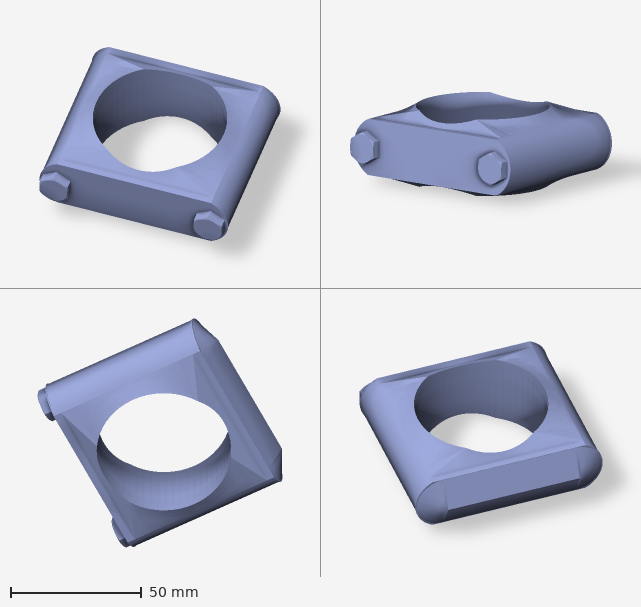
import cadquery as cq
import math

overall_length = 75.9
bolt_spacing = 62.05
body_thickness = 21.85
body_depth = 62.8
raised_thickness = 29.8
end_plate_thickness = 0.4
end_plate_overhang = 0.3

bore_radius = 25.65

raised_flat_depth = 43.25
raised_base_depth = 56.6

ridge_height = 5.55
ridge_inset = 0.15
ridge_length = 53.4

bolt_across_flats = 11.15
bolt_head_height = 4.0
hexagon_turn = 30.0
bolt_chamfer_angle = 30.0

half_body = body_thickness / 2
half_raised = raised_thickness / 2
raised_rise = half_raised - half_body
bolt_x = bolt_spacing / 2
back_y = body_depth / 2
front_y = -back_y
rim_y = raised_flat_depth / 2
rim_x = math.sqrt(bore_radius**2 - rim_y**2)


def rounded_outline(y, half_length):
    """Flat top and bottom with bulged ends, in the XZ plane at the given Y."""
    return (
        cq.Workplane("XZ", origin=(0, y, 0))
        .moveTo(-bolt_x, -half_body)
        .lineTo(bolt_x, -half_body)
        .threePointArc((half_length, 0), (bolt_x, half_body))
        .lineTo(-bolt_x, half_body)
        .threePointArc((-half_length, 0), (-bolt_x, -half_body))
        .close()
    )


def make_body():
    half_length = overall_length / 2
    body = rounded_outline(back_y, half_length - end_plate_overhang).extrude(body_depth)
    for y in (back_y, front_y + end_plate_thickness):
        body = body.union(rounded_outline(y, half_length).extrude(end_plate_thickness))
    return body


def make_rim_quarter():
    """Quarter rim whose ruled flank runs from the straight body edge up to the bore arc."""
    arc_angle = math.atan2(rim_y, rim_x) / 2
    arc_middle = (bore_radius * math.cos(arc_angle), bore_radius * math.sin(arc_angle))
    return (
        cq.Workplane("XY", origin=(0, 0, half_body))
        .moveTo(0, 0)
        .lineTo(bolt_x, 0)
        .lineTo(bolt_x, rim_y)
        .lineTo(0, rim_y)
        .close()
        .workplane(offset=raised_rise)
        .moveTo(0, 0)
        .lineTo(bore_radius, 0)
        .threePointArc(arc_middle, (rim_x, rim_y))
        .lineTo(0, rim_y)
        .close()
        .loft(ruled=True)
    )


def make_rim_end():
    """Wedge sloping down from the rim to the body at the +Y end."""
    base_y = raised_base_depth / 2
    slope = (
        cq.Workplane("YZ", origin=(-bolt_x, 0, 0))
        .polyline([(rim_y, half_body), (base_y, half_body), (rim_y, half_raised)])
        .close()
        .extrude(bolt_spacing)
    )
    flanks = (
        cq.Workplane("XZ", origin=(0, base_y, 0))
        .polyline([
            (-bolt_x, half_body),
            (bolt_x, half_body),
            (rim_x, half_raised),
            (-rim_x, half_raised),
        ])
        .close()
        .extrude(base_y)
    )
    return slope.intersect(flanks)


def make_raised_rim():
    half_rim = make_rim_quarter()
    half_rim = half_rim.union(half_rim.mirror("YZ")).union(make_rim_end())
    return half_rim.union(half_rim.mirror("XZ"))


def make_ridge():
    """Roof on the back face, with a half cone at each end."""
    ridge_x = ridge_length / 2
    half_width = half_body - ridge_inset
    middle = (
        cq.Workplane("YZ", origin=(-ridge_x, 0, 0))
        .polyline([(back_y, -half_width), (back_y, half_width), (back_y + ridge_height, 0)])
        .close()
        .extrude(ridge_length)
    )
    cone = (
        cq.Workplane("YZ", origin=(ridge_x, 0, 0))
        .polyline([(back_y, 0), (back_y, half_width), (back_y + ridge_height, 0)])
        .close()
        .revolve(180, (0, 0, 0), (1, 0, 0))
    )
    return middle.union(cone).union(cone.mirror("YZ"))


def make_bolt_head(x):
    corner_diameter = bolt_across_flats / math.cos(math.radians(hexagon_turn))
    chamfer_width = (corner_diameter - bolt_across_flats) / 2
    chamfer_depth = chamfer_width * math.tan(math.radians(bolt_chamfer_angle))
    tip_y = front_y - bolt_head_height
    head = (
        cq.Workplane("XZ", origin=(x, front_y, 0))
        .transformed(rotate=(0, 0, hexagon_turn))
        .polygon(6, corner_diameter)
        .extrude(bolt_head_height)
    )
    rounding = (
        cq.Workplane("XY", origin=(x, 0, 0))
        .moveTo(0, front_y)
        .lineTo(corner_diameter / 2, front_y)
        .lineTo(corner_diameter / 2, tip_y + chamfer_depth)
        .lineTo(bolt_across_flats / 2, tip_y)
        .lineTo(0, tip_y)
        .close()
        .revolve(360, (0, 0, 0), (0, 1, 0))
    )
    return head.intersect(rounding)


raised_rim = make_raised_rim()
result = make_body().union(raised_rim).union(raised_rim.mirror("XY")).union(make_ridge())
for head_x in (-bolt_x, bolt_x):
    result = result.union(make_bolt_head(head_x))

bore = cq.Workplane("XY", origin=(0, 0, -half_raised)).circle(bore_radius).extrude(raised_thickness)
result = result.cut(bore)